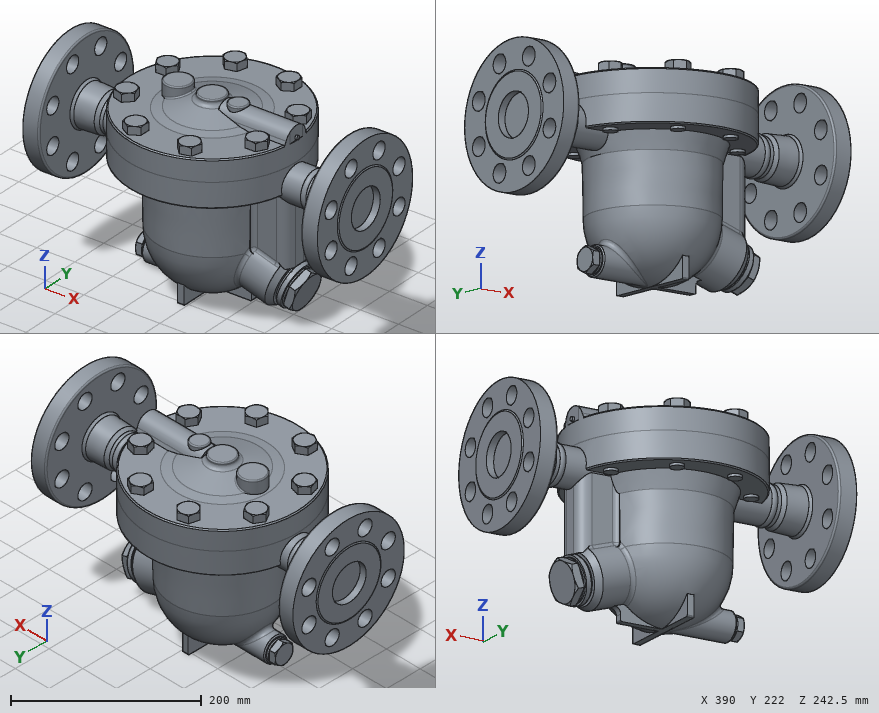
import cadquery as cq
import math


LENGTH = 390
INLET_X = -188
OUTLET_X = INLET_X + LENGTH
FLANGE_DIA = 165
FLANGE_BACK = 22.5
FLANGE_EDGE_FILLET = 2
RAISED_FACE = 1
RAISED_BASE_DIA = 96
RAISED_FACE_DIA = 92.5
BORE_DIA = 50
BORE_DEPTH = 9
FLANGE_BOLT_CIRCLE = 127
FLANGE_HOLE_DIA = 21
BOLT_COUNT = 8
FIRST_BOLT_ANGLE = 180 / BOLT_COUNT
HUB_ROOT_DIA = 58
HUB_DIA = 54
HUB_END_DIA = 51.5
PIPE_DIA = 46
BEAD_DIA = 48.5
HUB_START = 26
HUB_END = 52
PIPE_START = 57
BEAD_START = 61.5
BEAD_END = 68.5

COVER_DIA = 222
COVER_TOP = 52.5
COVER_CHAMFER = 1.5
SPLIT_Z = 25.2
BODY_FLANGE_BOTTOM = -7

COVER_BOLT_CIRCLE = 186
BOLT_DIA = 16
BOLT_HEAD_FLATS = 24
BOLT_HEAD_TOP = 63
BOLT_TIP_Z = -10
HEX_CHAMFER_ANGLE = 30

DOME_DIA = 130
DOME_CONE_DIA = 105
DOME_CONE_Z = 54.5
DOME_CONE_TOP_Z = 63
BOSS_TOP = 71
BOSS_DIA = 34
BOSS_FILLET = 1.5
CENTER_BOSS_FOOT_DIA = 43
CENTER_BOSS_WAIST_Z = 68.5
LEFT_BOSS_X = -45
LEFT_BOSS_BLEND = 1.5
SMALL_BOSS_X = 34.3
SMALL_BOSS_DIA = 24
RIDGE_DIA = 35
RIDGE_TOP = 69
RIDGE_START_X = 18
RIDGE_END_X = 110.5
RIDGE_FLARE_Z = 57
RIDGE_FOOT_WIDTH = 37.5
PIN_DIA = 5
PIN_Z = 54.7
PIN_END_X = 113

BOWL_DIA = 148
BOWL_LOWER_DIA = 146
NECK_DIA = 162
NECK_BOTTOM = -27.5
BASE_Z = -160
BOWL_CENTER_Z = BASE_Z + BOWL_LOWER_DIA / 2

FOOT_REACH = 55
FOOT_THICKNESS = 8.5
FOOT_TOP = -125
FOOT_CORNER = 1.5
SIDE_FOOT_BLEND = 8
SIDE_FOOT_BLEND_Z = -152

DRAIN_DIA = 35
DRAIN_EDGE = 1.5
DRAIN_BLEND = 5
DRAIN_Z = -142
DRAIN_FACE_X = -80
DRAIN_WASHER = 2.5
DRAIN_WASHER_DIA = 29
DRAIN_HEX_FLATS = 26
DRAIN_HEX_HEIGHT = 9

PORT_TILT = 17.5
PORT_END_X = 124.2
PORT_END_Z = -127.6
PORT_DIA = 69
PORT_FACE_DIA = 58
PORT_SEAT_DIA = 50
PORT_DEPTH = 75
PORT_TAPER_START = 28.3
PORT_FACE = 21
PORT_BLEND = 6
PLUG_COLLAR_DIA = 55
PLUG_COLLAR_BACK = 18
PLUG_COLLAR_FRONT = 12
PLUG_HEX_BACK = 10
PLUG_HEX_FLATS = 46

COLUMN_WIDTH = 42.6
COLUMN_CORNER = 14.3
COLUMN_END_X = 114.7
COLUMN_BOTTOM = -97
COLUMN_FILLET = 6.5


def bolt_angles():
    return [FIRST_BOLT_ANGLE + i * 360 / BOLT_COUNT for i in range(BOLT_COUNT)]


def bolt_points(circle_dia):
    radius = circle_dia / 2
    angles = [math.radians(a) for a in bolt_angles()]
    return [(radius * math.cos(a), radius * math.sin(a)) for a in angles]


def cylinder(diameter, bottom, top, x=0):
    return cq.Workplane("XY", origin=(x, 0, bottom)).circle(diameter / 2).extrude(top - bottom)


def seam_near(*point):
    return cq.selectors.NearestToPointSelector(point)


def turned(points):
    """Solid turned about Z from (radius, z) points that start and end on the axis."""
    return cq.Workplane("XZ").polyline(points).close().revolve(360, (0, 0), (0, 1))


def hex_head(flats, height):
    """Hexagon standing on z = 0 with a corner on +X and its top corners turned off."""
    corners = flats / math.cos(math.pi / 6)
    drop = (corners - flats) / 2 * math.tan(math.radians(HEX_CHAMFER_ANGLE))
    prism = cq.Workplane("XY").polygon(6, corners).extrude(height)
    turning = cylinder(corners, 0, height).faces(">Z").chamfer(drop, (corners - flats) / 2)
    return prism.intersect(turning)


def pipe_end():
    """Flange, hub, weld bead and pipe along +X, with the flange face at x = 0."""
    bead_middle = (BEAD_START + BEAD_END) / 2
    flange = (
        cq.Workplane("YZ", origin=(RAISED_FACE, 0, 0))
        .circle(FLANGE_DIA / 2)
        .extrude(FLANGE_BACK - RAISED_FACE)
        .faces(">X").edges().fillet(FLANGE_EDGE_FILLET)
    )
    stem = (
        cq.Workplane("XY")
        .moveTo(0, 0)
        .lineTo(0, RAISED_FACE_DIA / 2)
        .lineTo(RAISED_FACE, RAISED_BASE_DIA / 2)
        .lineTo(FLANGE_BACK, RAISED_BASE_DIA / 2)
        .lineTo(FLANGE_BACK, HUB_ROOT_DIA / 2)
        .lineTo(HUB_START, HUB_DIA / 2)
        .lineTo(HUB_END, HUB_END_DIA / 2)
        .lineTo(PIPE_START, PIPE_DIA / 2)
        .lineTo(BEAD_START, PIPE_DIA / 2)
        .threePointArc((bead_middle, BEAD_DIA / 2), (BEAD_END, PIPE_DIA / 2))
        .lineTo(-INLET_X, PIPE_DIA / 2)
        .lineTo(-INLET_X, 0)
        .close()
        .revolve(360, (0, 0), (1, 0))
    )
    bore = cq.Workplane("YZ").circle(BORE_DIA / 2).extrude(BORE_DEPTH)
    holes = (
        cq.Workplane("YZ")
        .pushPoints(bolt_points(FLANGE_BOLT_CIRCLE))
        .circle(FLANGE_HOLE_DIA / 2)
        .extrude(FLANGE_BACK)
    )
    return flange.union(stem).cut(bore).cut(holes)


def cover():
    """Cover plate with its low dome and the flared boss in the middle."""
    plate = cylinder(COVER_DIA, SPLIT_Z, COVER_TOP).faces(">Z").chamfer(COVER_CHAMFER)
    neck = BOSS_DIA / 2
    dome = (
        cq.Workplane("XZ")
        .moveTo(0, SPLIT_Z)
        .lineTo(DOME_DIA / 2, SPLIT_Z)
        .lineTo(DOME_DIA / 2, COVER_TOP)
        .lineTo(DOME_CONE_DIA / 2, DOME_CONE_Z)
        .lineTo(CENTER_BOSS_FOOT_DIA / 2, DOME_CONE_TOP_Z)
        .tangentArcPoint((neck, CENTER_BOSS_WAIST_Z), relative=False)
        .lineTo(neck, BOSS_TOP)
        .lineTo(0, BOSS_TOP)
        .close()
        .revolve(360, (0, 0), (0, 1))
        .faces(">Z").edges().fillet(BOSS_FILLET)
    )
    return plate.union(dome)


def cover_boss(diameter, x):
    return cylinder(diameter, SPLIT_Z, BOSS_TOP, x).faces(">Z").edges().fillet(BOSS_FILLET)


def ridge():
    """Half-round passage from the small boss to the rim, flared where it meets the plate."""
    radius = RIDGE_DIA / 2
    axis_z = RIDGE_TOP - radius
    flare_y = math.sqrt(radius**2 - (RIDGE_FLARE_Z - axis_z) ** 2)
    foot_y = RIDGE_FOOT_WIDTH / 2
    bar = (
        cq.Workplane("YZ", origin=(RIDGE_START_X, 0, 0))
        .moveTo(-foot_y, SPLIT_Z)
        .lineTo(foot_y, SPLIT_Z)
        .lineTo(foot_y, COVER_TOP)
        .lineTo(flare_y, RIDGE_FLARE_Z)
        .threePointArc((0, RIDGE_TOP), (-flare_y, RIDGE_FLARE_Z))
        .lineTo(-foot_y, COVER_TOP)
        .close()
        .extrude(RIDGE_END_X - RIDGE_START_X)
    )
    rim = cylinder(COVER_DIA, SPLIT_Z, BOSS_TOP)
    pin = (
        cq.Workplane("YZ", origin=(RIDGE_START_X, 0, PIN_Z))
        .circle(PIN_DIA / 2)
        .extrude(PIN_END_X - RIDGE_START_X)
    )
    return bar.intersect(rim).union(pin)


def bolt_ring(part):
    """Copies of a part on the cover bolt circle, each turned with its own radius."""
    first = part.translate((COVER_BOLT_CIRCLE / 2, 0, 0))
    ring = cq.Workplane("XY")
    for angle in bolt_angles():
        ring = ring.add(first.rotate((0, 0, 0), (0, 0, 1), angle))
    return ring.combine()


def bolt_heads():
    head = hex_head(BOLT_HEAD_FLATS, BOLT_HEAD_TOP - COVER_TOP).translate((0, 0, COVER_TOP))
    return bolt_ring(head.rotate((0, 0, 0), (0, 0, 1), FIRST_BOLT_ANGLE))


def bolt_tips():
    return bolt_ring(cylinder(BOLT_DIA, BOLT_TIP_Z, SPLIT_Z))


def body_flange():
    return cylinder(COVER_DIA, BODY_FLANGE_BOTTOM, SPLIT_Z).faces("<Z").chamfer(COVER_CHAMFER)


def bowl():
    radius = BOWL_LOWER_DIA / 2
    slant = radius * math.sqrt(0.5)
    return (
        cq.Workplane("XZ")
        .moveTo(0, SPLIT_Z)
        .lineTo(NECK_DIA / 2, SPLIT_Z)
        .lineTo(NECK_DIA / 2, BODY_FLANGE_BOTTOM)
        .lineTo(BOWL_DIA / 2, NECK_BOTTOM)
        .lineTo(radius, BOWL_CENTER_Z)
        .threePointArc((slant, BOWL_CENTER_Z - slant), (0, BASE_Z))
        .close()
        .revolve(360, (0, 0), (0, 1))
    )


def feet():
    height = FOOT_TOP - BASE_Z
    cross_foot = (
        cq.Workplane("XY", origin=(0, 0, BASE_Z))
        .box(FOOT_THICKNESS, 2 * FOOT_REACH, height, centered=(True, True, False))
        .edges("|X and <Z").fillet(FOOT_CORNER)
    )
    sweep = SIDE_FOOT_BLEND * (1 - math.sqrt(0.5))
    side_foot = (
        cq.Workplane("XZ")
        .moveTo(0, BASE_Z)
        .lineTo(FOOT_REACH, BASE_Z)
        .lineTo(FOOT_REACH, SIDE_FOOT_BLEND_Z)
        .threePointArc(
            (FOOT_REACH + sweep, SIDE_FOOT_BLEND_Z + SIDE_FOOT_BLEND - sweep),
            (FOOT_REACH + SIDE_FOOT_BLEND, SIDE_FOOT_BLEND_Z + SIDE_FOOT_BLEND),
        )
        .lineTo(0, FOOT_TOP)
        .close()
        .extrude(FOOT_THICKNESS / 2, both=True)
        .edges(seam_near(FOOT_REACH, 0, BASE_Z)).fillet(FOOT_CORNER)
    )
    return cross_foot.union(side_foot)


def drain_boss():
    return (
        cq.Workplane("YZ", origin=(DRAIN_FACE_X, 0, DRAIN_Z))
        .circle(DRAIN_DIA / 2)
        .extrude(-DRAIN_FACE_X)
        .faces("<X").edges().chamfer(DRAIN_EDGE)
    )


def drain_plug():
    washer = cylinder(DRAIN_WASHER_DIA, 0, DRAIN_WASHER)
    head = hex_head(DRAIN_HEX_FLATS, DRAIN_HEX_HEIGHT).translate((0, 0, DRAIN_WASHER))
    plug = washer.union(head).rotate((0, 0, 0), (0, 1, 0), -90)
    return plug.translate((DRAIN_FACE_X, 0, DRAIN_Z))


def tilted(part):
    """Move a part from the Z axis to the inclined port axis, with z = 0 at the plug end."""
    turned_part = part.rotate((0, 0, 0), (0, 1, 0), 90 + PORT_TILT)
    return turned_part.translate((PORT_END_X, 0, PORT_END_Z))


def port_boss():
    return tilted(turned([
        (0, -PORT_DEPTH),
        (PORT_DIA / 2, -PORT_DEPTH),
        (PORT_DIA / 2, -PORT_TAPER_START),
        (PORT_FACE_DIA / 2, -PORT_FACE),
        (0, -PORT_FACE),
    ]))


def port_plug():
    neck = cylinder(PORT_SEAT_DIA, -PORT_FACE, -PLUG_HEX_BACK)
    collar = cylinder(PLUG_COLLAR_DIA, -PLUG_COLLAR_BACK, -PLUG_COLLAR_FRONT)
    head = hex_head(PLUG_HEX_FLATS, PLUG_HEX_BACK).translate((0, 0, -PLUG_HEX_BACK))
    return tilted(neck.union(collar).union(head))


def column():
    """Upright passage with a rounded end, blended into the bowl by tangent arcs."""
    half = COLUMN_WIDTH / 2
    bowl_radius = BOWL_DIA / 2
    blend_y = half + COLUMN_FILLET
    blend_x = math.sqrt((bowl_radius + COLUMN_FILLET) ** 2 - blend_y**2)
    touch_ratio = bowl_radius / (bowl_radius + COLUMN_FILLET)
    touch = (blend_x * touch_ratio, blend_y * touch_ratio)
    middle_angle = (math.atan2(touch[1] - blend_y, touch[0] - blend_x) - math.pi / 2) / 2
    middle = (
        blend_x + COLUMN_FILLET * math.cos(middle_angle),
        blend_y + COLUMN_FILLET * math.sin(middle_angle),
    )
    return (
        cq.Workplane("XY", origin=(0, 0, COLUMN_BOTTOM))
        .moveTo(0, -touch[1])
        .lineTo(touch[0], -touch[1])
        .threePointArc((middle[0], -middle[1]), (blend_x, -half))
        .lineTo(COLUMN_END_X - COLUMN_CORNER, -half)
        .tangentArcPoint((COLUMN_END_X, COLUMN_CORNER - half), relative=False)
        .lineTo(COLUMN_END_X, half - COLUMN_CORNER)
        .tangentArcPoint((COLUMN_END_X - COLUMN_CORNER, half), relative=False)
        .lineTo(blend_x, half)
        .threePointArc(middle, touch)
        .lineTo(0, touch[1])
        .close()
        .extrude(BODY_FLANGE_BOTTOM - COLUMN_BOTTOM)
    )


def vessel():
    """Bowl, column, inclined port and drain boss with the blends between them."""
    column_seam_x = (BOWL_DIA / 2 + COLUMN_END_X - COLUMN_CORNER) / 2
    column_seam_z = COLUMN_BOTTOM + PORT_BLEND
    bowl_seam = (COLUMN_END_X / 2, PORT_DIA / 2, PORT_END_Z)
    drain_seam = (DRAIN_FACE_X / 2, 0, DRAIN_Z)
    shell = bowl().union(column()).union(port_boss())
    for side in (-1, 1):
        seam = seam_near(column_seam_x, side * COLUMN_WIDTH / 2, column_seam_z)
        shell = shell.edges(seam).fillet(PORT_BLEND)
    shell = shell.edges(seam_near(*bowl_seam)).fillet(PORT_BLEND)
    return shell.union(drain_boss()).edges(seam_near(*drain_seam)).fillet(DRAIN_BLEND)


inlet = pipe_end().translate((INLET_X, 0, 0))
outlet = pipe_end().mirror("YZ").translate((OUTLET_X, 0, 0))

upper = (
    cover()
    .union(cover_boss(BOSS_DIA, LEFT_BOSS_X))
    .edges(seam_near(LEFT_BOSS_X, BOSS_DIA / 2, DOME_CONE_Z)).fillet(LEFT_BOSS_BLEND)
    .union(ridge())
    .union(cover_boss(SMALL_BOSS_DIA, SMALL_BOSS_X))
    .union(bolt_heads())
)

lower = (
    body_flange()
    .union(vessel())
    .union(inlet)
    .union(outlet)
    .union(feet())
    .union(drain_plug())
    .union(port_plug())
    .union(bolt_tips())
)

result = lower.union(upper, clean=False)